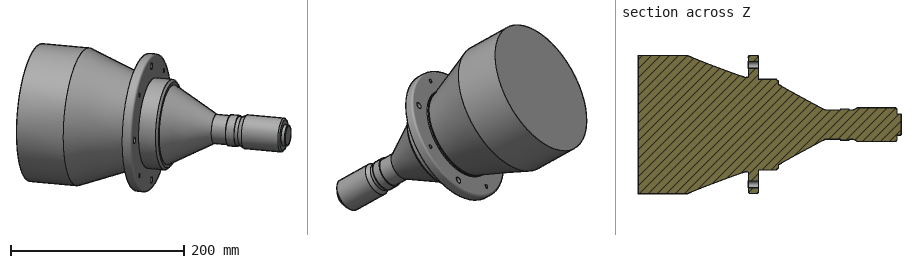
import cadquery as cq

head_diameter = 160.0
head_radius = head_diameter / 2
head_end = 56.5
rear_cone_radius = 54.5
rear_cone_end = 124.3
spigot_radius = 55.0
spigot_chamfer = 1.0

flange_start = 127.0
flange_end = 139.0
flange_fillet = 2.5

collar_radius = 52.5
collar_end = 162.2
collar_chamfer = 2.7
front_cone_radius = 46.5
front_cone_end = 216.0

neck_radius = 17.0
neck_end = 248.0
band_radius = 18.2
band_start = 233.3
band_end = 243.5

barrel_radius = 19.7
barrel_start = 253.0
barrel_end = 299.0
barrel_chamfer = 1.8
tip_radius = 12.5
tip_chamfer = 1.0
total_length = 303.8

bolt_circle_radius = 69.0
large_hole_diameter = 7.3
small_hole_diameter = 4.3
holes_per_set = 4
small_hole_angle = 45.0


def cylinder(start, end, radius):
    """Solid cylinder along X between two stations."""
    return cq.Workplane("YZ", origin=(start, 0, 0)).circle(radius).extrude(end - start)


def body():
    """Revolved body without the flange."""
    outline = [
        (0, 0),
        (0, head_radius),
        (head_end, head_radius),
        (rear_cone_end, rear_cone_radius),
        (rear_cone_end + spigot_chamfer, spigot_radius),
        (flange_start, spigot_radius),
        (flange_start, collar_radius),
        (collar_end - collar_chamfer, collar_radius),
        (collar_end, collar_radius - collar_chamfer),
        (collar_end, front_cone_radius),
        (front_cone_end, neck_radius),
        (band_start, neck_radius),
        (band_start, band_radius),
        (band_end, band_radius),
        (band_end, neck_radius),
        (neck_end, neck_radius),
        (barrel_start, barrel_radius),
        (barrel_end - barrel_chamfer, barrel_radius),
        (barrel_end, barrel_radius - barrel_chamfer),
        (barrel_end, tip_radius),
        (total_length - tip_chamfer, tip_radius),
        (total_length, tip_radius - tip_chamfer),
        (total_length, 0),
    ]
    return cq.Workplane("XZ").polyline(outline).close().revolve(360, (0, 0, 0), (1, 0, 0))


def flange():
    """Flange disc with rounded rims and two sets of through holes."""
    disc = cylinder(flange_start, flange_end, head_radius).edges().fillet(flange_fillet)
    hole_sets = [(large_hole_diameter, 0), (small_hole_diameter, small_hole_angle)]
    for diameter, start_angle in hole_sets:
        holes = (
            cq.Workplane("YZ", origin=(flange_start, 0, 0))
            .polarArray(bolt_circle_radius, start_angle, 360, holes_per_set)
            .circle(diameter / 2)
            .extrude(flange_end - flange_start)
        )
        disc = disc.cut(holes)
    return disc


result = body().union(flange())